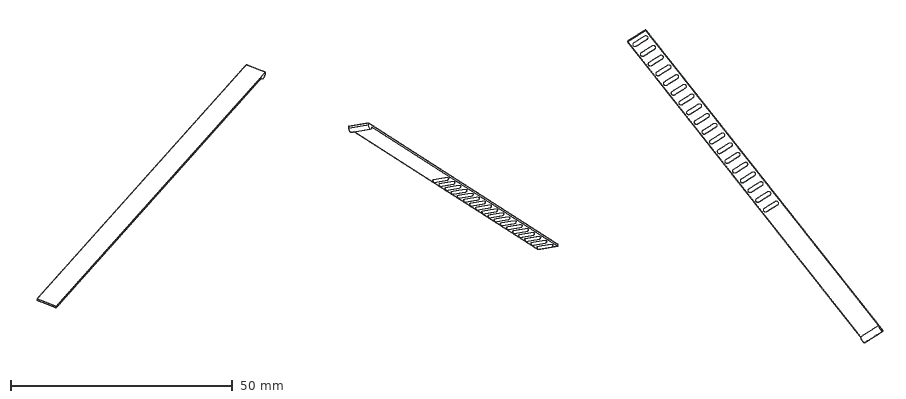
import cadquery as cq
import math

length = 92.8
width = 5.0
strip_thickness = 0.5

total_height = 1.2
lip_radius = 0.9

ridge_count = 18
ridge_radius = 0.5
ridge_straight = 3.0
ridge_row_length = 51.0
ridge_end_distance = 1.5

strip_top = strip_thickness
front_end = -length / 2
back_end = length / 2
ridge_pitch = ridge_row_length / (ridge_count - 1)


def make_strip():
    return cq.Workplane("XY").box(width, length, strip_thickness, centered=(True, True, False))


def make_lip():
    """Bar across the full width with a half-round lower side."""
    lip_bottom = strip_top - total_height
    arc_height = lip_bottom + lip_radius
    lip_front = back_end - 2 * lip_radius
    return (
        cq.Workplane("YZ")
        .moveTo(lip_front, strip_top)
        .lineTo(lip_front, arc_height)
        .threePointArc((back_end - lip_radius, lip_bottom), (back_end, arc_height))
        .lineTo(back_end, strip_top)
        .close()
        .extrude(width / 2, both=True)
    )


def make_ridge(y):
    """Half-round bar along X with quarter-ball ends, flat on the underside of the strip."""
    half_straight = ridge_straight / 2
    tip = half_straight + ridge_radius
    arc_offset = ridge_radius * math.sqrt(0.5)
    half_outline = (
        cq.Workplane("XY")
        .moveTo(-tip, 0)
        .threePointArc((-half_straight - arc_offset, arc_offset), (-half_straight, ridge_radius))
        .lineTo(half_straight, ridge_radius)
        .threePointArc((half_straight + arc_offset, arc_offset), (tip, 0))
        .close()
    )
    ridge = half_outline.revolve(180, (0, 0, 0), (-1, 0, 0))
    return ridge.translate((0, y, 0))


result = make_strip().union(make_lip())
for index in range(ridge_count):
    ridge_y = front_end + ridge_end_distance + index * ridge_pitch
    result = result.union(make_ridge(ridge_y))